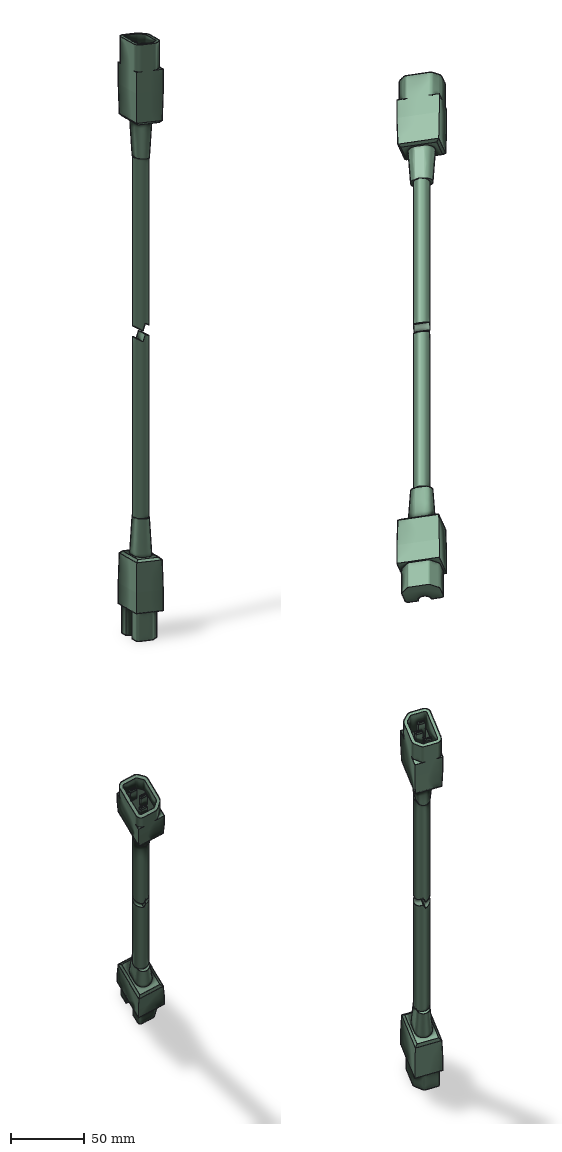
import cadquery as cq

total_length = 421.0
housing_x = 30.0
housing_y = 20.0
housing_draft = 1.5
housing_chamfer = 1.5

plug_parting_z = total_length - 34.0
plug_housing_end_z = total_length - 57.0
plug_boot_end_z = total_length - 83.0
shroud_length = 19.0
shroud_chamfer = 5.5
shroud_radius = 4.0
shroud_wall = 2.5
cavity_depth = 21.0

pin_x = 2.5
pin_y = 5.0
pin_tip_chamfer = 1.0
pin_top_gap = 3.5
pin_spacing = 7.0
middle_pin_y = 2.0
outer_pin_y = -2.0

nose_length = 20.0
nose_x = 27.0
nose_y = 17.5
nose_chamfer = 6.0
nose_radius = 2.0
groove_radius = 4.5
connector_parting_z = 35.0
connector_housing_end_z = 57.5
connector_boot_end_z = 84.0

boot_flat = 6.5
boot_root_radius = 6.5
boot_tip_radius = 4.5

cable_radius = 11.5 / 2
upper_break_z = 219.0
lower_break_z = 211.5
break_rise = 2.5
break_step = 1.0


def rounded_block(size_x, size_y, back_chamfer, radius, bottom_z, height):
    """Upright block with chamfered +Y corners and all upright edges rounded."""
    body = cq.Workplane("XY").workplane(offset=bottom_z).rect(size_x, size_y).extrude(height)
    return body.edges("|Z and >Y").chamfer(back_chamfer).edges("|Z").fillet(radius)


def drafted_housing(face_z, parting_z, end_z):
    """Straight from the face to the parting line, then drafted to a chamfered end."""
    straight = cq.Workplane("XY").workplane(offset=face_z).rect(housing_x, housing_y)
    straight = straight.extrude(parting_z - face_z)
    drafted_length = end_z - parting_z
    drafted = cq.Workplane("XY").workplane(offset=parting_z).rect(housing_x, housing_y)
    drafted = drafted.extrude(drafted_length, taper=housing_draft)
    end_face = drafted.faces(">Z" if drafted_length > 0 else "<Z")
    return straight.union(end_face.chamfer(housing_chamfer))


def boot(root_z, tip_z):
    """Obround strain relief, tapering from the housing towards the cable."""
    root = cq.Workplane("XY").workplane(offset=root_z)
    root = root.slot2D(boot_flat + 2 * boot_root_radius, 2 * boot_root_radius)
    tip = root.workplane(offset=tip_z - root_z)
    return tip.slot2D(boot_flat + 2 * boot_tip_radius, 2 * boot_tip_radius).loft(ruled=True)


def make_plug():
    shroud_bottom_z = total_length - shroud_length
    shroud = rounded_block(
        housing_x, housing_y, shroud_chamfer, shroud_radius, shroud_bottom_z, shroud_length
    )
    body = drafted_housing(shroud_bottom_z, plug_parting_z, plug_housing_end_z)
    body = body.union(shroud).union(boot(plug_housing_end_z, plug_boot_end_z))

    cavity_outline = shroud.faces(">Z").wires().toPending().offset2D(-shroud_wall)
    body = body.cut(cavity_outline.extrude(-cavity_depth, combine=False))

    pin_places = [(-pin_spacing, outer_pin_y), (0, middle_pin_y), (pin_spacing, outer_pin_y)]
    pins = cq.Workplane("XY").workplane(offset=total_length - cavity_depth).pushPoints(pin_places)
    pins = pins.rect(pin_x, pin_y).extrude(cavity_depth - pin_top_gap)
    return body.union(pins.faces(">Z").chamfer(pin_tip_chamfer))


def make_connector():
    nose = rounded_block(nose_x, nose_y, nose_chamfer, nose_radius, 0, nose_length)
    groove = cq.Workplane("XY").center(0, -nose_y / 2).circle(groove_radius).extrude(nose_length)
    body = drafted_housing(nose_length, connector_parting_z, connector_housing_end_z)
    return body.union(nose.cut(groove)).union(boot(connector_housing_end_z, connector_boot_end_z))


def make_cable(boot_z, break_z):
    """Round cable from a boot to the zigzag break."""
    keep = cq.Workplane("YZ").moveTo(-cable_radius, boot_z).lineTo(-cable_radius, break_z)
    keep = keep.lineTo(-break_step, break_z - break_rise).lineTo(break_step, break_z + break_rise)
    keep = keep.lineTo(cable_radius, break_z).lineTo(cable_radius, boot_z).close()
    keep = keep.extrude(cable_radius, both=True)
    low_z = min(boot_z, break_z - break_rise)
    high_z = max(boot_z, break_z + break_rise)
    round_bar = cq.Workplane("XY").workplane(offset=low_z).circle(cable_radius).extrude(high_z - low_z)
    return round_bar.intersect(keep)


plug = make_plug()
connector = make_connector()
break_places = [(plug_boot_end_z, upper_break_z), (connector_boot_end_z, lower_break_z)]
cables = [make_cable(boot_z, break_z).val() for boot_z, break_z in break_places]

result = cq.Compound.makeCompound([plug.val(), connector.val(), *cables])